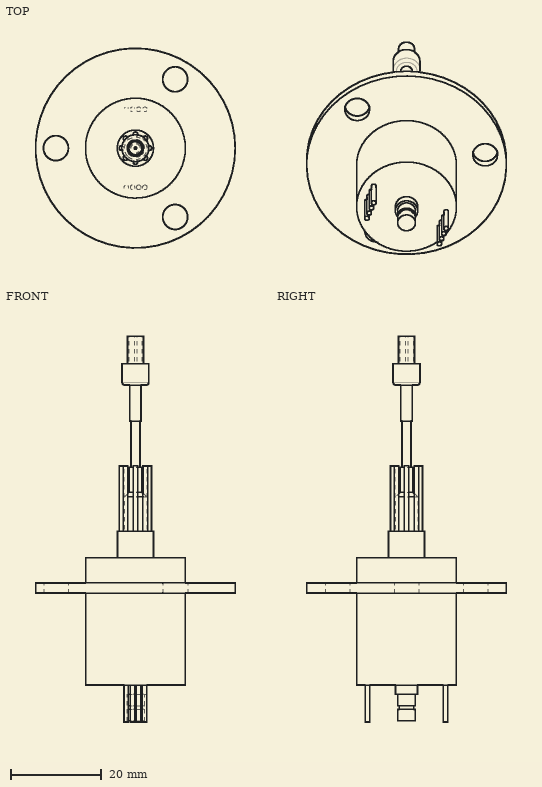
import cadquery as cq
import math


FLANGE_RADIUS = 22.0
BODY_RADIUS = FLANGE_RADIUS / 2
BODY_BOTTOM_Z = 8.2
BODY_TOP_Z = 36.2
FLANGE_BOTTOM_Z = 28.4
FLANGE_THICKNESS = 2.3

MOUNT_HOLE_COUNT = 3
MOUNT_HOLE_RADIUS = 2.7
MOUNT_CIRCLE_RADIUS = 17.5

PIN_RADIUS = 0.5

STATOR_PIN_ROW_Y = 8.6
STATOR_PINS_PER_ROW = 4
STATOR_PIN_PITCH = 1.4

SOCKET_BOTTOM_Z = 0.25
SOCKET_RADIUS = 1.95
SOCKET_COLLAR_RADIUS = 2.5
SOCKET_COLLAR_HEIGHT = 2.0
SOCKET_GROOVE_RADIUS = 1.6
SOCKET_GROOVE_BOTTOM_Z = 2.8
SOCKET_GROOVE_HEIGHT = 0.8

NECK_RADIUS = 4.0
NECK_TOP_Z = 42.1
ROTOR_PIN_COUNT = 8
ROTOR_PIN_CIRCLE_RADIUS = 3.1
ROTOR_PIN_TOP_Z = 56.4

JACKET_RADIUS = 2.5
JACKET_TOP_Z = 50.7
JACKET_CONE_HEIGHT = 1.0
BRAID_RADIUS = JACKET_RADIUS - JACKET_CONE_HEIGHT
BRAID_TOP_Z = 56.2
CORE_RADIUS = 1.0
CORE_TOP_Z = 66.3
SLEEVE_RADIUS = 1.3
COLLAR_RADIUS = 3.0
COLLAR_BOTTOM_Z = 74.2
COLLAR_TOP_Z = 79.0
COLLAR_FILLET_RADIUS = 0.7
PLUG_RADIUS = 1.8
PLUG_BORE_RADIUS = 1.45
PLUG_TOP_Z = 85.0
CONTACT_RADIUS = 0.25


def cylinder(radius, bottom_z, top_z, center=(0, 0)):
    """Vertical cylinder between two heights."""
    return cq.Workplane("XY", origin=(*center, bottom_z)).circle(radius).extrude(top_z - bottom_z)


def polar(radius, angle_deg):
    """Point on a circle about the Z axis."""
    angle = math.radians(angle_deg)
    return (radius * math.cos(angle), radius * math.sin(angle))


def stator_pin_centers():
    """Pin centres in two straight rows, each symmetric about the Y axis."""
    first_x = -STATOR_PIN_PITCH * (STATOR_PINS_PER_ROW - 1) / 2
    centers = []
    for row_y in (-STATOR_PIN_ROW_Y, STATOR_PIN_ROW_Y):
        for i in range(STATOR_PINS_PER_ROW):
            centers.append((first_x + i * STATOR_PIN_PITCH, row_y))
    return centers


def make_socket():
    """Collared coaxial socket with a latching groove."""
    collar = cylinder(SOCKET_COLLAR_RADIUS, BODY_BOTTOM_Z - SOCKET_COLLAR_HEIGHT, BODY_BOTTOM_Z)
    groove_top_z = SOCKET_GROOVE_BOTTOM_Z + SOCKET_GROOVE_HEIGHT
    tip = cylinder(SOCKET_RADIUS, SOCKET_BOTTOM_Z, SOCKET_GROOVE_BOTTOM_Z)
    waist = cylinder(SOCKET_GROOVE_RADIUS, SOCKET_GROOVE_BOTTOM_Z, groove_top_z)
    barrel = cylinder(SOCKET_RADIUS, groove_top_z, BODY_BOTTOM_Z)
    return collar.union(barrel).union(waist).union(tip)


def make_stator():
    """Flanged housing with its coaxial socket and pins underneath."""
    body = cylinder(BODY_RADIUS, BODY_BOTTOM_Z, BODY_TOP_Z)
    flange_top_z = FLANGE_BOTTOM_Z + FLANGE_THICKNESS
    flange = cylinder(FLANGE_RADIUS, FLANGE_BOTTOM_Z, flange_top_z)
    for i in range(MOUNT_HOLE_COUNT):
        center = polar(MOUNT_CIRCLE_RADIUS, 180 + i * 360 / MOUNT_HOLE_COUNT)
        flange = flange.cut(cylinder(MOUNT_HOLE_RADIUS, FLANGE_BOTTOM_Z, flange_top_z, center))
    stator = body.union(flange).union(make_socket())
    for center in stator_pin_centers():
        stator = stator.union(cylinder(PIN_RADIUS, 0, BODY_BOTTOM_Z, center))
    return stator


def make_rotor():
    """Neck on top of the housing with a ring of upright pins."""
    rotor = cylinder(NECK_RADIUS, BODY_TOP_Z, NECK_TOP_Z)
    for i in range(ROTOR_PIN_COUNT):
        center = polar(ROTOR_PIN_CIRCLE_RADIUS, i * 360 / ROTOR_PIN_COUNT)
        rotor = rotor.union(cylinder(PIN_RADIUS, NECK_TOP_Z, ROTOR_PIN_TOP_Z, center))
    return rotor


def make_lead():
    """Stepped lead from the neck up to the collar: jacket with a tapered end, braid, core, sleeve."""
    jacket = cylinder(JACKET_RADIUS, NECK_TOP_Z, JACKET_TOP_Z).faces(">Z").chamfer(JACKET_CONE_HEIGHT)
    braid = cylinder(BRAID_RADIUS, JACKET_TOP_Z, BRAID_TOP_Z)
    core = cylinder(CORE_RADIUS, BRAID_TOP_Z, CORE_TOP_Z)
    sleeve = cylinder(SLEEVE_RADIUS, CORE_TOP_Z, COLLAR_BOTTOM_Z)
    return jacket.union(braid).union(core).union(sleeve)


def make_plug():
    """Collar with a rounded lower edge, carrying a hollow tube with a centre contact."""
    collar = cylinder(COLLAR_RADIUS, COLLAR_BOTTOM_Z, COLLAR_TOP_Z)
    collar = collar.faces("<Z").edges().fillet(COLLAR_FILLET_RADIUS)
    tube = cylinder(PLUG_RADIUS, COLLAR_TOP_Z, PLUG_TOP_Z)
    bore = cylinder(PLUG_BORE_RADIUS, COLLAR_TOP_Z, PLUG_TOP_Z)
    contact = cylinder(CONTACT_RADIUS, COLLAR_TOP_Z, PLUG_TOP_Z)
    return collar.union(tube.cut(bore)).union(contact)


def make_cable():
    """Coaxial cable standing on the neck: the stepped lead and its end plug."""
    return make_lead().union(make_plug())


stator = make_stator()
rotor = make_rotor()
cable = make_cable()

result = cq.Compound.makeCompound([stator.val(), rotor.val(), cable.val()])